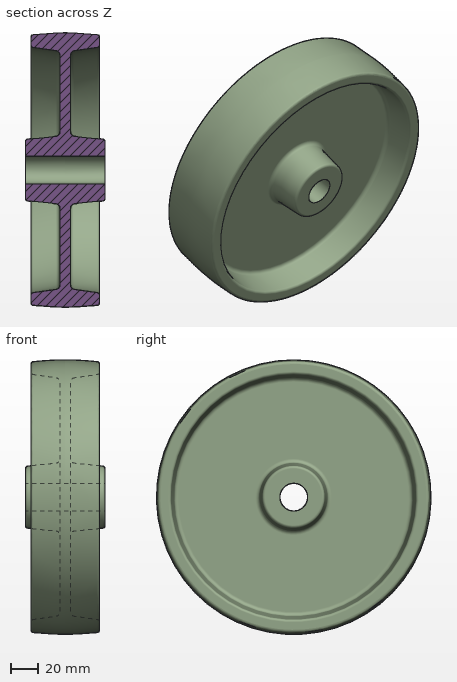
import cadquery as cq
import math

WHEEL_RADIUS = 100.0
RIM_WIDTH = 50.0
HUB_LENGTH = 58.0
BORE_RADIUS = 10.0
WEB_THICKNESS = 8.0

CROWN_RADIUS = 210.0
RIM_INNER_RADIUS = 89.5
RIM_ROOT_RADIUS = 86.5
HUB_END_RADIUS = 22.5
HUB_ROOT_RADIUS = 25.0

CORNER_FILLET = 2.0
ROOT_FILLET = 3.0

TOLERANCE = 1e-4

HALF_RIM = RIM_WIDTH / 2
HALF_HUB = HUB_LENGTH / 2
HALF_WEB = WEB_THICKNESS / 2


def crown_height(x):
    """Radius of the crowned tread at distance x from the mid plane."""
    return WHEEL_RADIUS - CROWN_RADIUS + math.sqrt(CROWN_RADIUS**2 - x**2)


def sharp_half():
    """Half of the wheel on the -X side of the mid plane, with unrounded corners."""
    profile = (
        cq.Workplane("XZ")
        .moveTo(0, BORE_RADIUS)
        .lineTo(-HALF_HUB, BORE_RADIUS)
        .lineTo(-HALF_HUB, HUB_END_RADIUS)
        .lineTo(-HALF_WEB, HUB_ROOT_RADIUS)
        .lineTo(-HALF_WEB, RIM_ROOT_RADIUS)
        .lineTo(-HALF_RIM, RIM_INNER_RADIUS)
        .lineTo(-HALF_RIM, crown_height(HALF_RIM))
        .threePointArc((-HALF_RIM / 2, crown_height(HALF_RIM / 2)), (0, WHEEL_RADIUS))
        .close()
    )
    return profile.revolve(360, (0, 0, 0), (1, 0, 0))


def round_edge(body, x, radius, fillet):
    """Round the circular edge of the given radius that lies in the plane at x."""
    circles = body.edges("%CIRCLE").vals()
    wanted = [
        edge
        for edge in circles
        if math.isclose(edge.Center().x, x, abs_tol=TOLERANCE)
        and math.isclose(edge.radius(), radius, abs_tol=TOLERANCE)
    ]
    return body.newObject(wanted).fillet(fillet)


def wheel_half():
    """The -X half of the wheel with its corners and web roots rounded."""
    half = sharp_half()
    half = round_edge(half, -HALF_HUB, HUB_END_RADIUS, CORNER_FILLET)
    half = round_edge(half, -HALF_WEB, HUB_ROOT_RADIUS, ROOT_FILLET)
    half = round_edge(half, -HALF_WEB, RIM_ROOT_RADIUS, ROOT_FILLET)
    half = round_edge(half, -HALF_RIM, RIM_INNER_RADIUS, CORNER_FILLET)
    half = round_edge(half, -HALF_RIM, crown_height(HALF_RIM), CORNER_FILLET)
    return half


left_half = wheel_half()
right_half = left_half.mirror("YZ")
result = left_half.union(right_half)